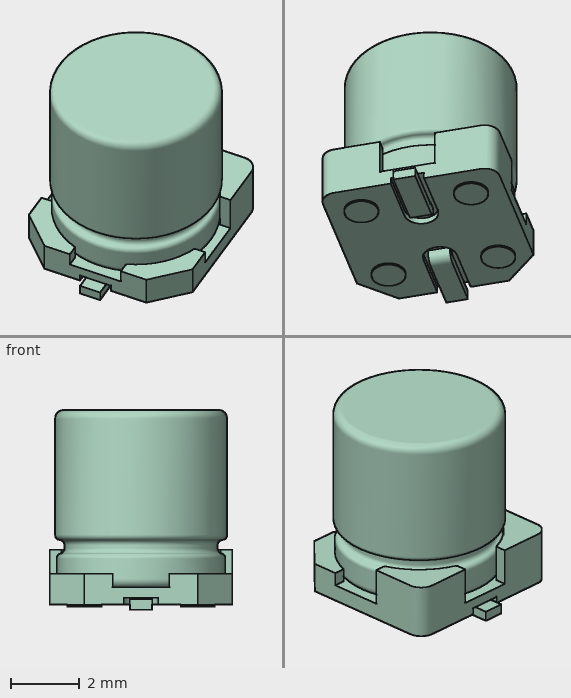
import cadquery as cq
import math


base_side = 5.3
base_bottom = 0.15
base_low_top = 1.05
base_tall_top = 1.75
front_chamfer = 1.0
rear_radius = 0.45
notch_width = 1.65
seat_height = 0.65

foot_diameter = 1.0
foot_height = 0.055
foot_x = 1.645
foot_rear_y = 1.645
foot_front_y = -1.44

can_top = 5.8
can_radius = 2.5
can_top_fillet = 0.25
lower_can_radius = 2.45
can_bottom_fillet = 0.24
neck_radius = 2.225
neck_bottom = 1.78
neck_top = 1.875
crimp_round = 0.15

lead_span = 6.0
lead_width = 0.65
lead_thickness = 0.3
lead_bend_radius = 0.3
lead_inner_y = 0.93

slot_width = 1.0
slot_top = 0.35
slot_end_center_y = lead_inner_y + lead_thickness / 2


def block(x_limits, y_limits, z_limits):
    """Box between the given limits on each axis."""
    (x0, x1), (y0, y1), (z0, z1) = x_limits, y_limits, z_limits
    return cq.Workplane("XY").box(x1 - x0, y1 - y0, z1 - z0, centered=False).translate((x0, y0, z0))


def lead_riser():
    """Upright leg of the rear lead, from the underside up to the can bottom."""
    return block(
        (-lead_width / 2, lead_width / 2),
        (lead_inner_y, lead_inner_y + lead_thickness),
        (0, seat_height),
    )


def lead():
    """Rear lead: a flat leg bent up into a riser, rounded outside the bend."""
    flat = block((-lead_width / 2, lead_width / 2), (lead_inner_y, lead_span / 2), (0, lead_thickness))
    bent = flat.union(lead_riser())
    return bent.edges("|X and <Y and <Z").fillet(lead_bend_radius)


def lead_slot():
    """Round-ended clearance around the rear lead, open at the rear wall of the base."""
    slot_height = slot_top - base_bottom
    channel = block(
        (-slot_width / 2, slot_width / 2),
        (slot_end_center_y, base_side / 2),
        (base_bottom, slot_top),
    )
    round_end = (
        cq.Workplane("XY", origin=(0, slot_end_center_y, base_bottom))
        .circle(slot_width / 2)
        .extrude(slot_height)
    )
    return channel.union(round_end)


def front_and_rear(shape):
    """The rear shape and its copy turned to the front."""
    return [shape, shape.rotate((0, 0, 0), (0, 0, 1), 180)]


def make_base():
    half = base_side / 2
    notch_half = notch_width / 2
    body = block((-half, half), (-half, half), (base_bottom, base_tall_top))
    body = body.edges("|Z and <Y").chamfer(front_chamfer)
    body = body.edges("|Z and >Y").fillet(rear_radius)

    body = body.cut(block((-half, half), (-half, 0), (base_low_top, base_tall_top)))

    notch_heights = (seat_height, base_tall_top)
    body = body.cut(block((-half, half), (-notch_half, notch_half), notch_heights))
    body = body.cut(block((-notch_half, notch_half), (-half, half), notch_heights))

    socket = (
        cq.Workplane("XY", origin=(0, 0, seat_height))
        .circle(lower_can_radius)
        .extrude(base_tall_top - seat_height)
    )
    body = body.cut(socket)

    for opening in front_and_rear(lead_slot()) + front_and_rear(lead_riser()):
        body = body.cut(opening)

    feet = (
        cq.Workplane("XY", origin=(0, 0, base_bottom))
        .pushPoints([(x, y) for x in (-foot_x, foot_x) for y in (foot_front_y, foot_rear_y)])
        .circle(foot_diameter / 2)
        .extrude(-foot_height)
    )
    return body.union(feet)


def crimp_curve(outer_radius, neck_end, direction):
    """
    Points of the S-curve from the neck to a cylinder of outer_radius, as (radius, height) pairs:
    middle of the hollow arc, tangent joint, middle of the bulging arc, end on the cylinder.
    The direction is +1 above the neck and -1 below it.
    """
    center_distance = 2 * crimp_round
    hollow_center_r = neck_radius + crimp_round
    bulge_center_r = outer_radius - crimp_round
    turn = math.acos((hollow_center_r - bulge_center_r) / center_distance)
    end_height = neck_end + direction * center_distance * math.sin(turn)

    def on_hollow(angle):
        radius = hollow_center_r - crimp_round * math.cos(angle)
        return (radius, neck_end + direction * crimp_round * math.sin(angle))

    def on_bulge(angle):
        radius = bulge_center_r + crimp_round * math.cos(angle)
        return (radius, end_height - direction * crimp_round * math.sin(angle))

    return on_hollow(turn / 2), on_hollow(turn), on_bulge(turn / 2), on_bulge(0)


def make_can():
    low_hollow, low_joint, low_bulge, low_end = crimp_curve(lower_can_radius, neck_bottom, -1)
    high_hollow, high_joint, high_bulge, high_end = crimp_curve(can_radius, neck_top, 1)
    shell = (
        cq.Workplane("XZ")
        .moveTo(0, seat_height)
        .lineTo(lower_can_radius, seat_height)
        .lineTo(*low_end)
        .threePointArc(low_bulge, low_joint)
        .threePointArc(low_hollow, (neck_radius, neck_bottom))
        .lineTo(neck_radius, neck_top)
        .threePointArc(high_hollow, high_joint)
        .threePointArc(high_bulge, high_end)
        .lineTo(can_radius, can_top)
        .lineTo(0, can_top)
        .close()
        .revolve(360, (0, 0, 0), (0, 1, 0))
    )
    shell = shell.faces(">Z").edges().fillet(can_top_fillet)
    shell = shell.faces("<Z").edges().fillet(can_bottom_fillet)
    for bent_lead in front_and_rear(lead()):
        shell = shell.union(bent_lead)
    return shell


base = make_base()
can = make_can()

result = cq.Compound.makeCompound([base.solids().val(), can.solids().val()])